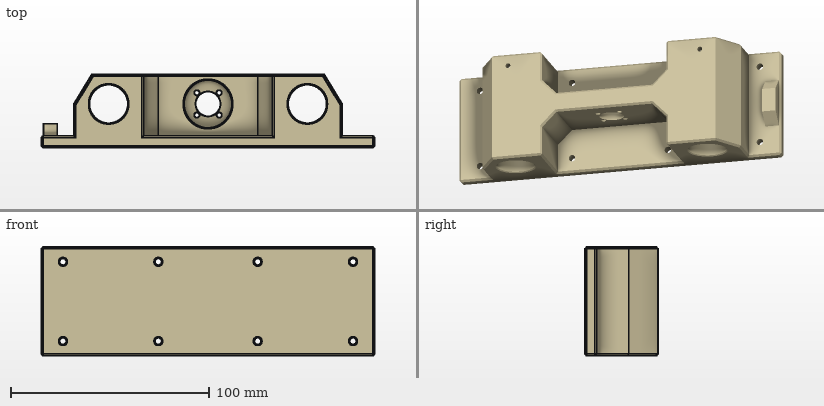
import cadquery as cq

length = 168.0
height = 55.0
depth = 37.0
plate_thickness = 6.0
edge_chamfer = 1.0
mid_z = height / 2

axis_y = 22.0

block_inner_x = 32.5
block_outer_x = 67.5
block_bevel_x = 58.5
bore_x = 50.0
bore_diameter = 19.3
rim_chamfer = 0.5
set_screw_diameter = 2.5
set_screw_drop = 6.0

web_thickness = 10.0
web_flat_x = 25.0
web_slope = block_inner_x - web_flat_x
nut_clearance_diameter = 12.5
nut_recess_diameter = 24.0
nut_recess_depth = 7.0
nut_screw_diameter = 2.5
nut_screw_spacing = 11.3

mount_diameter = 3.4
mount_x = (25.0, 73.0)
mount_z_spacing = 40.0

tab_x = -length / 2 + edge_chamfer
tab_length = 7.0
tab_rise = 6.0
tab_base_width = 24.0
tab_top_width = tab_base_width - 2 * tab_rise


def plate_and_blocks():
    """Full-height plate with both rod blocks, still sharp-edged."""
    right_half = [
        (length / 2, 0),
        (length / 2, plate_thickness),
        (block_outer_x, plate_thickness),
        (block_outer_x, axis_y),
        (block_bevel_x, depth),
        (block_inner_x, depth),
        (block_inner_x, plate_thickness),
    ]
    left_half = [(-x, y) for x, y in reversed(right_half)]
    return cq.Workplane("XY").polyline(right_half + left_half).close().extrude(height)


def web():
    """Bridge between the blocks: thin in the middle, flaring at 45 degrees towards them."""
    half = web_thickness / 2
    flare = half + web_slope
    outline = [
        (-block_inner_x, -flare),
        (-web_flat_x, -half),
        (web_flat_x, -half),
        (block_inner_x, -flare),
        (block_inner_x, flare),
        (web_flat_x, half),
        (-web_flat_x, half),
        (-block_inner_x, flare),
    ]
    return (
        cq.Workplane("XZ", origin=(0, plate_thickness, mid_z))
        .polyline(outline)
        .close()
        .extrude(plate_thickness - depth)
    )


def chamfered_body():
    """Plate, blocks and web, chamfered along the end faces, plate edges and rear pocket edges."""
    body = plate_and_blocks().union(web())
    pocket_zone = cq.selectors.BoxSelector(
        (-block_bevel_x + edge_chamfer, 0, edge_chamfer),
        (block_bevel_x - edge_chamfer, depth + edge_chamfer, height - edge_chamfer),
    )
    edges = body.faces("<Z or >Z").edges()
    edges = edges.add(body.faces("<Y").edges())
    edges = edges.add(body.edges("|Z").edges("<X or >X"))
    edges = edges.add(body.faces(">Y").edges(pocket_zone))
    return body.newObject(edges.vals()).chamfer(edge_chamfer)


def tab():
    """Trapezoidal tab standing on the rear face of the plate."""
    outline = [
        (plate_thickness, -tab_base_width / 2),
        (plate_thickness + tab_rise, -tab_top_width / 2),
        (plate_thickness + tab_rise, tab_top_width / 2),
        (plate_thickness, tab_base_width / 2),
    ]
    return cq.Workplane("YZ", origin=(tab_x, 0, mid_z)).polyline(outline).close().extrude(tab_length)


def rim_cone(plane, origin, diameter, inward):
    """Conical cutter that breaks the rim of a hole; inward is the sign of the cutting direction."""
    return (
        cq.Workplane(plane, origin=origin)
        .circle(diameter / 2 + rim_chamfer)
        .workplane(offset=inward * rim_chamfer)
        .circle(diameter / 2)
        .loft()
    )


def rod_bores():
    """Rod bores along Z with broken rims, each with a set-screw hole from the rear face."""
    cutter = cq.Workplane("XY")
    for x in (-bore_x, bore_x):
        bore = cq.Workplane("XY", origin=(x, axis_y, 0)).circle(bore_diameter / 2).extrude(height)
        bottom_rim = rim_cone("XY", (x, axis_y, 0), bore_diameter, 1)
        top_rim = rim_cone("XY", (x, axis_y, height), bore_diameter, -1)
        set_screw = (
            cq.Workplane("XZ", origin=(x, axis_y, height - set_screw_drop))
            .circle(set_screw_diameter / 2)
            .extrude(axis_y - depth)
        )
        cutter = cutter.add(bore).add(bottom_rim).add(top_rim).add(set_screw)
    return cutter.combine()


def nut_seat():
    """Recess, clearance hole and four screw holes for a flanged nut in the web."""
    web_top = mid_z + web_thickness / 2
    seat = cq.Workplane("XY", origin=(0, axis_y, web_top))
    recess = seat.circle(nut_recess_diameter / 2).extrude(-nut_recess_depth)
    clearance = seat.circle(nut_clearance_diameter / 2).extrude(-web_thickness)
    screws = (
        seat.rect(nut_screw_spacing, nut_screw_spacing, forConstruction=True)
        .vertices()
        .circle(nut_screw_diameter / 2)
        .extrude(-web_thickness)
    )
    rim = rim_cone("XY", (0, axis_y, web_top), nut_recess_diameter, -1)
    return recess.union(clearance).union(screws).union(rim)


def mounting_holes():
    """Eight plate holes along Y with broken front rims."""
    cutter = cq.Workplane("XY")
    for distance in mount_x:
        for x in (-distance, distance):
            for z in (mid_z - mount_z_spacing / 2, mid_z + mount_z_spacing / 2):
                hole = (
                    cq.Workplane("XZ", origin=(x, 0, z))
                    .circle(mount_diameter / 2)
                    .extrude(-plate_thickness)
                )
                cutter = cutter.add(hole).add(rim_cone("XZ", (x, 0, z), mount_diameter, -1))
    return cutter.combine()


result = (
    chamfered_body()
    .union(tab())
    .cut(rod_bores())
    .cut(nut_seat())
    .cut(mounting_holes())
)